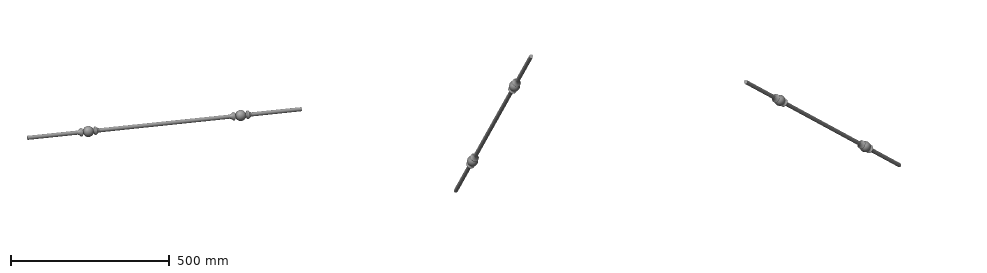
import cadquery as cq

rod_length = 900.0
rod_diameter = 13.0
knuckle_spacing = 500.0

ball_diameter = 35.0
knuckle_length = 72.0
inner_flare_offset = 16.0
rim_diameter = 28.0
rim_offset = 23.0
rim_width = 2.5
bevel = 1.0
inner_flare_sag = 0.6
outer_flare_sag = 1.0


def make_rod():
    return cq.Workplane("XZ").circle(rod_diameter / 2).extrude(rod_length / 2, both=True)


def make_collar():
    """Turned collar with its axis along Y, on the +Y side of a ball at the origin."""
    rod_radius = rod_diameter / 2
    rim_radius = rim_diameter / 2
    flare_radius = rim_radius - bevel
    rim_start = rim_offset - rim_width / 2
    rim_end = rim_offset + rim_width / 2
    outer_end = knuckle_length / 2
    profile = (
        cq.Workplane("XY")
        .moveTo(0, inner_flare_offset)
        .lineTo(rod_radius, inner_flare_offset)
        .sagittaArc((flare_radius, rim_start - bevel), inner_flare_sag)
        .lineTo(rim_radius, rim_start)
        .lineTo(rim_radius, rim_end)
        .lineTo(flare_radius, rim_end + bevel)
        .sagittaArc((rod_radius, outer_end), outer_flare_sag)
        .lineTo(0, outer_end)
        .close()
    )
    return profile.revolve(360, (0, 0, 0), (0, 1, 0))


def make_knuckle():
    ball = cq.Workplane("XY").sphere(ball_diameter / 2)
    collar = make_collar()
    return ball.union(collar).union(collar.mirror("XZ"))


result = make_rod()
knuckle = make_knuckle()
for side in (-1, 1):
    result = result.union(knuckle.translate((0, side * knuckle_spacing / 2, 0)))